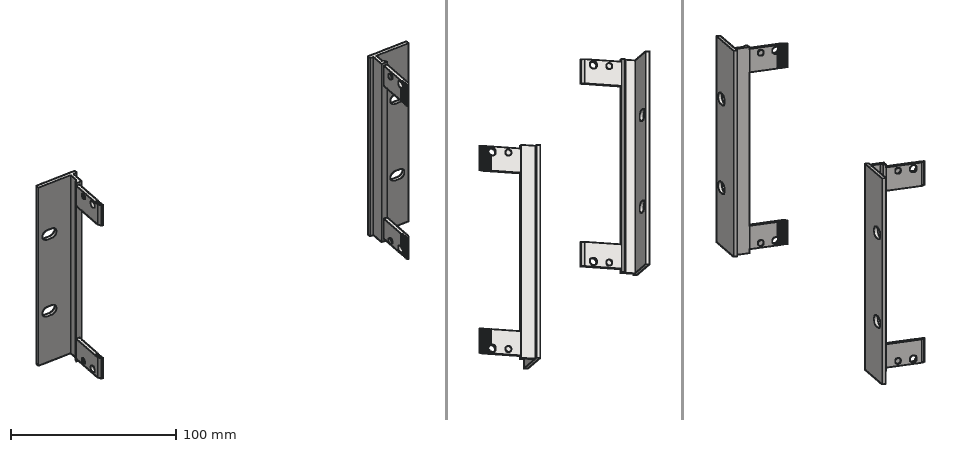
import cadquery as cq

total_length = 37.0
total_width = 269.2
height = 132.7

plate_thickness = 2.5
plate_width = 28.0
slot_length = 10.2
slot_height = 7.0
slot_edge_distance = 8.0
slot_spacing = 57.0

flange_offset = 2.5
flange_thickness = 2.2
flange_end = 11.3
step_start = 8.3
step_height = 1.3

arm_offset = 4.0
arm_thickness = 2.5
arm_height = 15.0
arm_end_distance = 2.0
tip_chamfer_length = 2.5
tip_chamfer_depth = 1.3

hole_diameter = 4.5
hole_x = 29.0
stud_diameter = 3.8
stud_x = 19.0
stud_height = 0.8
stud_end_distance = 5.0

tooth_count = 7
tooth_pitch = 1.0
tooth_depth = 0.8

inner_edge = total_width / 2 - plate_width
outer_edge = total_width / 2
flange_inner = inner_edge + flange_offset
flange_outer = flange_inner + flange_thickness
arm_inner = inner_edge + arm_offset
arm_outer = arm_inner + arm_thickness
step_end = step_start + step_height
serration_start = total_length - tooth_count * tooth_pitch
arm_center_z = height / 2 - arm_end_distance - arm_height / 2
hole_z = height / 2 - stud_end_distance


def upright_prism(outline, prism_height, center_z):
    """Closed XY outline extruded along Z about center_z."""
    base = cq.Workplane("XY").workplane(offset=center_z - prism_height / 2)
    return base.polyline(outline).close().extrude(prism_height)


def cross_cylinder(diameter, x, z, y_start, length):
    """Cylinder running along +Y from y_start."""
    axis = cq.Vector(0, 1, 0)
    return cq.Workplane(cq.Solid.makeCylinder(diameter / 2, length, cq.Vector(x, y_start, z), axis))


def make_plate():
    outline = [
        (0, inner_edge),
        (plate_thickness, inner_edge),
        (plate_thickness, outer_edge),
        (0, outer_edge),
    ]
    plate = upright_prism(outline, height, 0)
    slots = (
        cq.Workplane("YZ")
        .center(outer_edge - slot_edge_distance, 0)
        .rarray(2.7, slot_spacing, 1, 2)
        .slot2D(slot_length, slot_height)
        .extrude(plate_thickness)
    )
    return plate.cut(slots)


def make_flange():
    outline = [
        (plate_thickness, flange_inner),
        (flange_end, flange_inner),
        (flange_end, arm_outer),
        (step_end, flange_outer + step_height),
        (step_start, flange_outer),
        (plate_thickness, flange_outer),
    ]
    return upright_prism(outline, height, 0)


def make_arm():
    """Upper arm: serrated inner face, chamfered tip, one hole and one pressed stud."""
    outline = [
        (total_length, arm_outer - tip_chamfer_depth),
        (total_length - tip_chamfer_length, arm_outer),
        (flange_end, arm_outer),
        (flange_end, arm_inner),
        (serration_start, arm_inner),
    ]
    for tooth in range(tooth_count):
        tooth_x = serration_start + tooth * tooth_pitch
        outline.append((tooth_x + tooth_pitch / 2, arm_inner + tooth_depth))
        outline.append((tooth_x + tooth_pitch, arm_inner))
    arm = upright_prism(outline, arm_height, arm_center_z)
    hole = cross_cylinder(hole_diameter, hole_x, hole_z, arm_inner, arm_thickness)
    stud = cross_cylinder(stud_diameter, stud_x, hole_z, arm_inner - stud_height, stud_height)
    stud_recess = cross_cylinder(stud_diameter, stud_x, hole_z, arm_outer - stud_height, stud_height)
    return arm.union(stud).cut(hole).cut(stud_recess)


def make_bracket():
    """Bracket on the +Y side, one solid."""
    upper_arm = make_arm()
    lower_arm = upper_arm.mirror("XY")
    return make_plate().union(make_flange()).union(upper_arm).union(lower_arm)


left_bracket = make_bracket()
right_bracket = left_bracket.mirror("XZ")

result = cq.Compound.makeCompound([left_bracket.val(), right_bracket.val()])